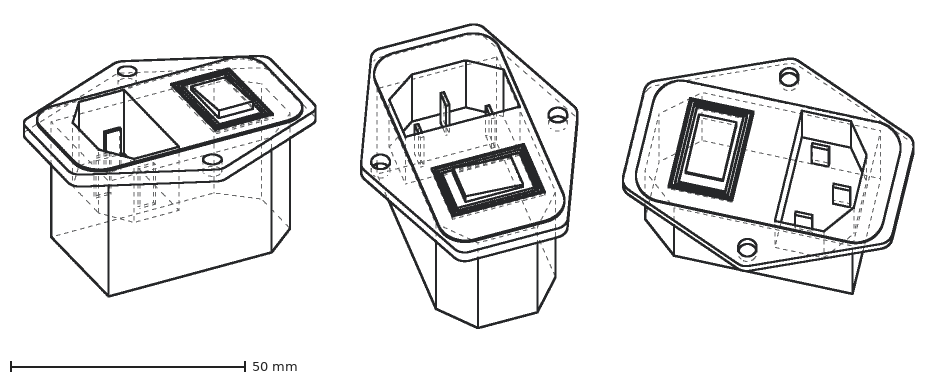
import cadquery as cq


flange_half_length = 29.5
flange_end_half_width = 12.0
flange_side_vertex = 24.5
flange_thickness = 3.0
flange_corner_radius = 3.0
screw_hole_spacing = 40.0
screw_hole_diameter = 4.0

panel_width = 28.0
panel_length = 54.0
panel_height = 0.5
panel_corner_radius = 6.0
panel_top = flange_thickness + panel_height

housing_width = 27.0
housing_depth = 29.0
housing_front = -21.55
housing_back = 25.45
housing_chamfer_x = 6.8
housing_chamfer_y = 7.9

switch_y = 12.55
outer_groove_width = 20.8
outer_groove_length = 13.9
ridge_width = 19.6
ridge_length = 13.0
inner_groove_width = 18.6
inner_groove_length = 11.6
switch_plate_width = 17.5
switch_plate_length = 10.2
groove_depth = 1.0
rocker_width = 13.0
rocker_length = 8.2
rocker_low_height = 0.75
rocker_high_height = 1.91

socket_half_width = 12.9
socket_back = -4.4
socket_shoulder = -15.15
socket_front = -20.15
socket_front_half_width = 6.1
socket_depth = 16.0
pin_thickness = 0.8
pin_width = 3.7
pin_recess = 6.0
pin_length = socket_depth - pin_recess
line_pin_x = 8.0
line_pin_y = -9.6
earth_pin_y = -16.1


def make_flange():
    outline = [
        (flange_end_half_width, flange_half_length),
        (flange_side_vertex, 0),
        (flange_end_half_width, -flange_half_length),
        (-flange_end_half_width, -flange_half_length),
        (-flange_side_vertex, 0),
        (-flange_end_half_width, flange_half_length),
    ]
    plate = cq.Workplane("XY").polyline(outline).close().extrude(flange_thickness)
    plate = plate.edges("|Z").fillet(flange_corner_radius)
    hole_x = screw_hole_spacing / 2
    holes = (
        cq.Workplane("XY")
        .pushPoints([(-hole_x, 0), (hole_x, 0)])
        .circle(screw_hole_diameter / 2)
        .extrude(flange_thickness)
    )
    return plate.cut(holes)


def make_panel():
    return (
        cq.Workplane("XY", origin=(0, 0, flange_thickness))
        .rect(panel_width, panel_length)
        .extrude(panel_height)
        .edges("|Z")
        .fillet(panel_corner_radius)
    )


def make_housing():
    half_width = housing_width / 2
    back_half_width = half_width - housing_chamfer_x
    chamfer_start = housing_back - housing_chamfer_y
    outline = [
        (-half_width, housing_front),
        (half_width, housing_front),
        (half_width, chamfer_start),
        (back_half_width, housing_back),
        (-back_half_width, housing_back),
        (-half_width, chamfer_start),
    ]
    return cq.Workplane("XY").polyline(outline).close().extrude(-housing_depth)


def make_groove(outer_width, outer_length, inner_width, inner_length):
    """Rectangular ring cut down from the panel around the switch."""
    return (
        cq.Workplane("XY", origin=(0, switch_y, panel_top))
        .rect(outer_width, outer_length)
        .rect(inner_width, inner_length)
        .extrude(-groove_depth)
    )


def make_rocker():
    half_width = rocker_width / 2
    profile = [
        (-half_width, panel_top),
        (half_width, panel_top),
        (half_width, panel_top + rocker_high_height),
        (-half_width, panel_top + rocker_low_height),
    ]
    return (
        cq.Workplane("XZ", origin=(0, switch_y, 0))
        .polyline(profile)
        .close()
        .extrude(rocker_length / 2, both=True)
    )


def make_socket():
    outline = [
        (-socket_half_width, socket_back),
        (socket_half_width, socket_back),
        (socket_half_width, socket_shoulder),
        (socket_front_half_width, socket_front),
        (-socket_front_half_width, socket_front),
        (-socket_half_width, socket_shoulder),
    ]
    return (
        cq.Workplane("XY", origin=(0, 0, panel_top))
        .polyline(outline)
        .close()
        .extrude(-socket_depth)
    )


def make_pins():
    positions = [(-line_pin_x, line_pin_y), (line_pin_x, line_pin_y), (0, earth_pin_y)]
    return (
        cq.Workplane("XY", origin=(0, 0, panel_top - socket_depth))
        .pushPoints(positions)
        .rect(pin_thickness, pin_width)
        .extrude(pin_length)
    )


outer_groove = make_groove(outer_groove_width, outer_groove_length, ridge_width, ridge_length)
inner_groove = make_groove(
    inner_groove_width, inner_groove_length, switch_plate_width, switch_plate_length
)

result = make_flange().union(make_panel()).union(make_housing())
result = result.cut(outer_groove).cut(inner_groove).union(make_rocker())
result = result.cut(make_socket()).union(make_pins())